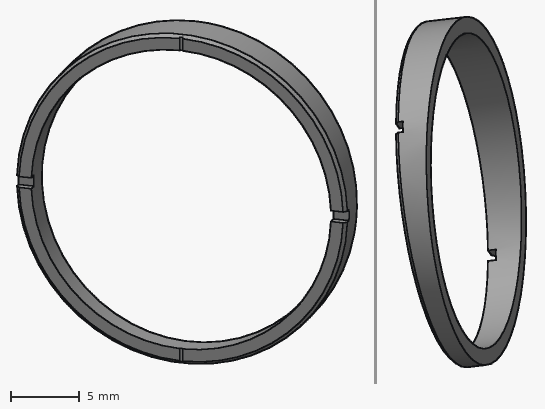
import cadquery as cq

outer_diameter = 25.4
inner_diameter = 23.0
depth_at_top = 3.3
depth_at_bottom = 1.65
rim_chamfer = 0.25

side_slot_width = 0.85
side_slot_depth = 0.6
mark_width = 0.23
mark_depth = 0.08

outer_radius = outer_diameter / 2


def ring_blank():
    """Full-depth ring with the outer rim of its flat face chamfered."""
    disc = cq.Workplane("XZ").circle(outer_radius).extrude(-depth_at_top)
    disc = disc.faces("<Y").edges().chamfer(rim_chamfer)
    bore = cq.Workplane("XZ").circle(inner_diameter / 2).extrude(-depth_at_top)
    return disc.cut(bore)


def wedge():
    """Wedge-shaped envelope, deepest at the top, that gives the sloping face."""
    profile = [
        (0, -outer_radius),
        (depth_at_bottom, -outer_radius),
        (depth_at_top, outer_radius),
        (0, outer_radius),
    ]
    return cq.Workplane("YZ").polyline(profile).close().extrude(outer_radius, both=True)


def face_slot(size_x, depth, size_z):
    """Cutter for a straight slot across the whole flat face."""
    return cq.Workplane("XY").box(size_x, depth, size_z, centered=(True, False, True))


side_slots = face_slot(outer_diameter, side_slot_depth, side_slot_width)
index_marks = face_slot(mark_width, mark_depth, outer_diameter)

result = ring_blank().intersect(wedge()).cut(side_slots).cut(index_marks)